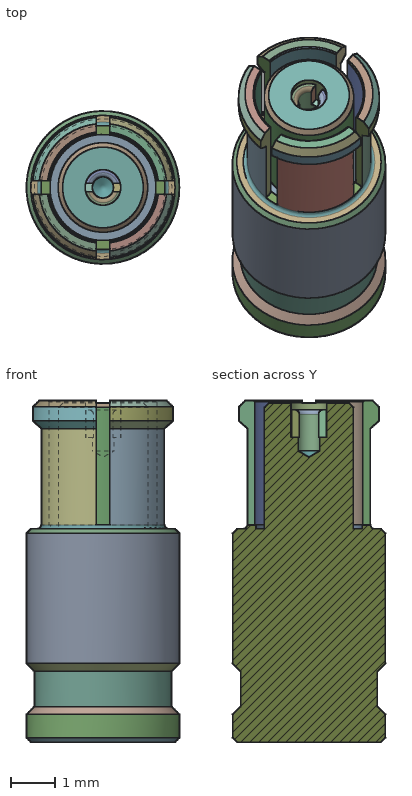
import cadquery as cq

total_height = 7.7
body_radius = 1.725
base_chamfer = 0.11
groove_radius = 1.55
groove_depth = body_radius - groove_radius
groove_bottom = 0.81
groove_top = 1.6
shoulder_height = 4.81
shoulder_chamfer = 0.1

neck_radius = 1.39
neck_fillet = 0.085
lip_radius = 1.59
lip_step = lip_radius - neck_radius
lip_top_chamfer = 0.15
lip_lower_edge = 7.24
lip_cone_height = 0.17
bore_radius = 1.225
bore_chamfer = 0.03
slot_width = 0.31
slot_floor = shoulder_height + neck_fillet
gap_radius = 1.19
gap_floor = shoulder_height

insulator_radius = 1.01
insulator_top = total_height - 0.055
insulator_chamfer = 0.1

contact_radius = 0.4
contact_top = insulator_top - 0.155
socket_radius = 0.24
socket_mouth_fillet = 0.1
socket_depth = 0.925
socket_cone_depth = 0.14
contact_slot_width = 0.19
contact_slot_depth = 0.615


def make_body():
    """Turned outer body with the groove, shoulder and lipped collar."""
    profile = (
        cq.Workplane("XZ")
        .lineTo(body_radius - base_chamfer, 0)
        .lineTo(body_radius, base_chamfer)
        .lineTo(body_radius, groove_bottom - groove_depth)
        .lineTo(groove_radius, groove_bottom)
        .lineTo(groove_radius, groove_top)
        .lineTo(body_radius, groove_top + groove_depth)
        .lineTo(body_radius, shoulder_height - shoulder_chamfer)
        .lineTo(body_radius - shoulder_chamfer, shoulder_height)
        .lineTo(neck_radius + neck_fillet, shoulder_height)
        .radiusArc((neck_radius, shoulder_height + neck_fillet), neck_fillet)
        .lineTo(neck_radius, lip_lower_edge - lip_cone_height)
        .lineTo(neck_radius + lip_step, lip_lower_edge)
        .lineTo(lip_radius, total_height - lip_top_chamfer)
        .lineTo(lip_radius - lip_top_chamfer, total_height)
        .lineTo(bore_radius + bore_chamfer, total_height)
        .lineTo(bore_radius, total_height - bore_chamfer)
        .lineTo(bore_radius, slot_floor)
        .lineTo(gap_radius, slot_floor)
        .lineTo(gap_radius, gap_floor)
        .lineTo(0, gap_floor)
        .close()
    )
    return profile.revolve(360, (0, 0, 0), (0, 1, 0))


def cut_collar_slots(body):
    """Two crossing slots split the collar into four fingers."""
    slot_height = total_height - slot_floor
    for angle in (0, 90):
        slot = (
            cq.Workplane("XY", origin=(0, 0, slot_floor))
            .rect(2 * body_radius, slot_width)
            .extrude(slot_height)
            .rotate((0, 0, 0), (0, 0, 1), angle)
        )
        body = body.cut(slot)
    return body


def make_core():
    """Insulator and contact with a cone-bottomed socket."""
    socket_floor = contact_top - socket_depth
    profile = (
        cq.Workplane("XZ")
        .moveTo(0, gap_floor)
        .lineTo(insulator_radius, gap_floor)
        .lineTo(insulator_radius, insulator_top - insulator_chamfer)
        .lineTo(insulator_radius - insulator_chamfer, insulator_top)
        .lineTo(contact_radius, insulator_top)
        .lineTo(contact_radius, contact_top)
        .lineTo(socket_radius + socket_mouth_fillet, contact_top)
        .radiusArc((socket_radius, contact_top - socket_mouth_fillet), -socket_mouth_fillet)
        .lineTo(socket_radius, socket_floor)
        .lineTo(0, socket_floor - socket_cone_depth)
        .close()
    )
    return profile.revolve(360, (0, 0, 0), (0, 1, 0))


def make_contact_slot():
    """Slot across the contact, limited to the contact's diameter."""
    floor = contact_top - contact_slot_depth
    bar = (
        cq.Workplane("XY", origin=(0, 0, floor))
        .rect(2 * contact_radius, contact_slot_width)
        .extrude(contact_slot_depth)
    )
    limit = (
        cq.Workplane("XY", origin=(0, 0, floor))
        .circle(contact_radius)
        .extrude(contact_slot_depth)
    )
    return bar.intersect(limit)


collar_body = cut_collar_slots(make_body())
core = make_core().cut(make_contact_slot())
result = collar_body.union(core)